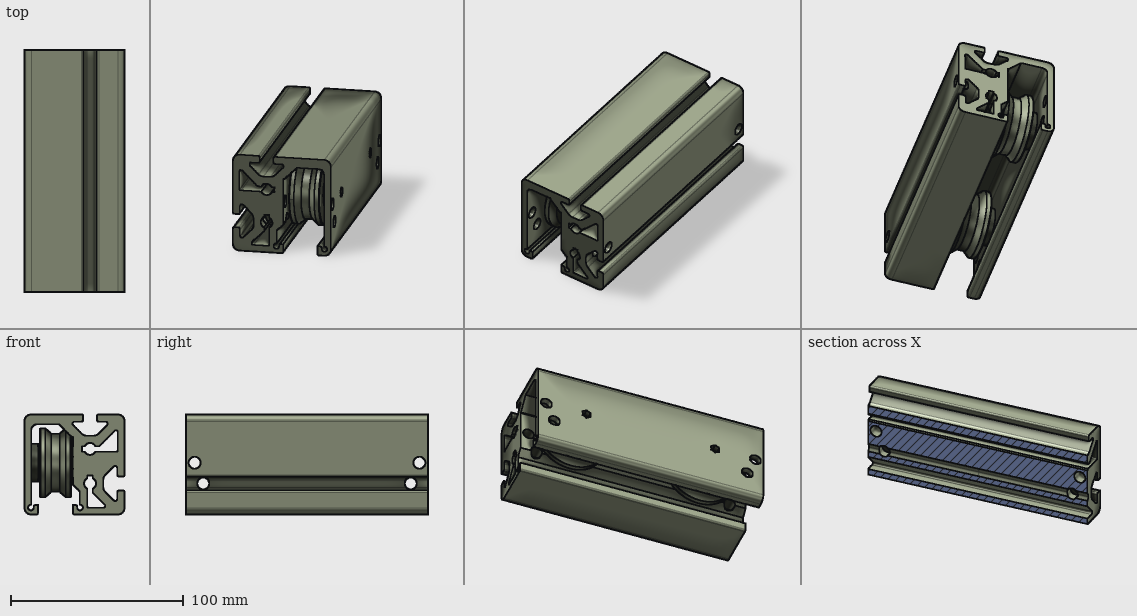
import cadquery as cq
import math

length = 140.0
side = 58.0
corner_radius = 4.0
wall = 4.0

channel_center = 18.0
mouth_width = 20.2
channel_top = 52.2
channel_corner_radius = 3.5
upper_slope_start = 20.0
slope_step = 0.6
web_left = 28.0
web_bottom = 17.4

lip_height = 5.6
lip_radius = 1.0
groove_radius = 1.6
groove_offset = 14.2
groove_z = 4.1

slot_from_edge = 20.0
right_slot_z = 18.0
slot_half_mouth = 4.0
slot_lip = 4.3
slot_depth = 12.3
slot_floor_half = 3.7
slot_tip_radius = 1.15
slot_floor_radius = 4.0
slot_lip_radius = 1.0

port_bore = 6.8
port_half_neck = 1.5
port_back = 4.6
port_neck_end = 5.3
port_corner_radius = 0.7
port_tip_radius = 1.0
port_x = side - slot_from_edge
upper_port_z = 38.0
lower_port_z = right_slot_z

axle_z = 30.0
roller_ys = (-40.0, 40.0)
roller_diameter = 40.0
roller_width = 18.0
waist_diameter = 33.8
waist_width = 4.8
flange_width = 3.0
flange_chamfer = 0.4
hub_diameter = 19.0
spacer_diameter = 22.0
spacer_length = 4.0
hex_corner_diameter = 5.8
hex_depth = 4.0

cross_hole_diameter = 6.8
cross_holes = ((5.0, axle_z), (10.0, right_slot_z))


def prism(corners):
    """Extrude a closed X-Z outline of (x, z, corner radius) points over the full length."""
    wire = cq.Workplane("XZ")
    count = len(corners)
    for i, (x, z, radius) in enumerate(corners):
        here = cq.Vector(x, z)
        before = (cq.Vector(*corners[i - 1][:2]) - here).normalized()
        after = (cq.Vector(*corners[(i + 1) % count][:2]) - here).normalized()
        half_angle = before.getAngle(after) / 2
        setback = radius / math.tan(half_angle)
        start = here + before * setback
        wire = wire.lineTo(start.x, start.y) if i else wire.moveTo(start.x, start.y)
        if radius:
            bisector = (before + after).normalized()
            middle = here + bisector * (radius / math.sin(half_angle) - radius)
            end = here + after * setback
            wire = wire.threePointArc((middle.x, middle.y), (end.x, end.y))
    return wire.close().extrude(length / 2, both=True)


def bar(x, z, diameter):
    """Round bar along Y over the full length."""
    return cq.Workplane("XZ").center(x, z).circle(diameter / 2).extrude(length / 2, both=True)


def slot_corners():
    """T-slot as (along the face, depth, corner radius), with rounded lips."""
    tip_half = slot_floor_half + slot_depth - slot_lip
    return [
        (-slot_half_mouth, 0, slot_lip_radius),
        (-slot_half_mouth, slot_lip, slot_lip_radius),
        (-tip_half, slot_lip, slot_tip_radius),
        (-slot_floor_half, slot_depth, slot_floor_radius),
        (slot_floor_half, slot_depth, slot_floor_radius),
        (tip_half, slot_lip, slot_tip_radius),
        (slot_half_mouth, slot_lip, slot_lip_radius),
        (slot_half_mouth, 0, slot_lip_radius),
    ]


def section_body():
    """Solid bar with the roller channel and both T-slots in its outline."""
    mouth_left = channel_center - mouth_width / 2
    mouth_right = channel_center + mouth_width / 2
    channel_right = 2 * channel_center - wall
    slope_end_z = channel_top - (web_left - slope_step - upper_slope_start)
    groove_edge = groove_offset - groove_radius
    top_slot = [(side - slot_from_edge + u, side - d, r) for u, d, r in slot_corners()]
    right_slot = [(side - d, right_slot_z - u, r) for u, d, r in slot_corners()]
    channel = [
        (mouth_right, 0, lip_radius),
        (mouth_right, lip_height, 0),
        (channel_center + groove_edge, lip_height, lip_radius),
        (channel_center + groove_edge, groove_z, 0),
        (channel_right, groove_z, 0),
        (channel_right, web_bottom - (channel_right - web_left), 0),
        (web_left, web_bottom, 0),
        (web_left, slope_end_z, 0),
        (web_left - slope_step, slope_end_z, 0),
        (upper_slope_start, channel_top, 0),
        (wall, channel_top, channel_corner_radius),
        (wall, groove_z, 0),
        (channel_center - groove_edge, groove_z, 0),
        (channel_center - groove_edge, lip_height, lip_radius),
        (mouth_left, lip_height, 0),
        (mouth_left, 0, lip_radius),
    ]
    outline = [(0, 0, corner_radius), (0, side, corner_radius)]
    outline += top_slot
    outline += [(side, side, corner_radius)]
    outline += right_slot
    outline += [(side, 0, corner_radius)]
    outline += channel
    body = prism(outline)
    for direction in (-1, 1):
        groove_x = channel_center + direction * groove_offset
        body = body.cut(bar(groove_x, groove_z, 2 * groove_radius))
    return body


def port_corners(reach):
    """Neck and triangle as (along the neck, across, radius), measured from the bore center."""
    far_across = port_half_neck + reach - port_neck_end
    return [
        (-port_back, -port_half_neck, 0),
        (-port_back, port_half_neck, 0),
        (port_neck_end, port_half_neck, 0),
        (reach, far_across, port_tip_radius),
        (reach, -port_half_neck, port_corner_radius),
    ]


def cut_ports(body):
    upper_reach = side - wall - port_x
    lower_reach = lower_port_z - wall
    upper = [(port_x + a, upper_port_z + c, r) for a, c, r in port_corners(upper_reach)]
    lower = [(port_x + c, lower_port_z - a, r) for a, c, r in port_corners(lower_reach)]
    body = body.cut(prism(upper)).cut(prism(lower))
    for z in (upper_port_z, lower_port_z):
        body = body.cut(bar(port_x, z, port_bore))
    return body


def cut_cross_holes(body):
    for end in (-1, 1):
        for inset, z in cross_holes:
            y = end * (length / 2 - inset)
            hole = cq.Workplane("YZ").center(y, z).circle(cross_hole_diameter / 2).extrude(side)
            body = body.cut(hole)
    return body


def roller(y):
    """Spacer, hubs and V-grooved wheel spanning the channel, revolved about the axle."""
    wheel_left = channel_center - roller_width / 2
    wheel_right = channel_center + roller_width / 2
    wheel_radius = roller_diameter / 2
    waist_radius = waist_diameter / 2
    spacer_right = wall + spacer_length
    half_profile = [
        (wall, 0),
        (wall, spacer_diameter / 2),
        (spacer_right, spacer_diameter / 2),
        (spacer_right, hub_diameter / 2),
        (wheel_left, hub_diameter / 2),
        (wheel_left, wheel_radius - flange_chamfer),
        (wheel_left + flange_chamfer, wheel_radius),
        (wheel_left + flange_width, wheel_radius),
        (channel_center - waist_width / 2, waist_radius),
        (channel_center + waist_width / 2, waist_radius),
        (wheel_right - flange_width, wheel_radius),
        (wheel_right - flange_chamfer, wheel_radius),
        (wheel_right, wheel_radius - flange_chamfer),
        (wheel_right, hub_diameter / 2),
        (web_left, hub_diameter / 2),
        (web_left, 0),
    ]
    wheel = cq.Workplane("XY").polyline(half_profile).close().revolve(360, (0, 0), (1, 0))
    return wheel.translate((0, y, axle_z))


def hex_socket(y):
    """Hexagonal recess in the left face, one corner pointing up."""
    socket = cq.Workplane("YZ").polygon(6, hex_corner_diameter).extrude(hex_depth)
    return socket.rotate((0, 0, 0), (1, 0, 0), 90).translate((0, y, axle_z))


result = cut_cross_holes(cut_ports(section_body()))
for roller_y in roller_ys:
    result = result.union(roller(roller_y)).cut(hex_socket(roller_y))